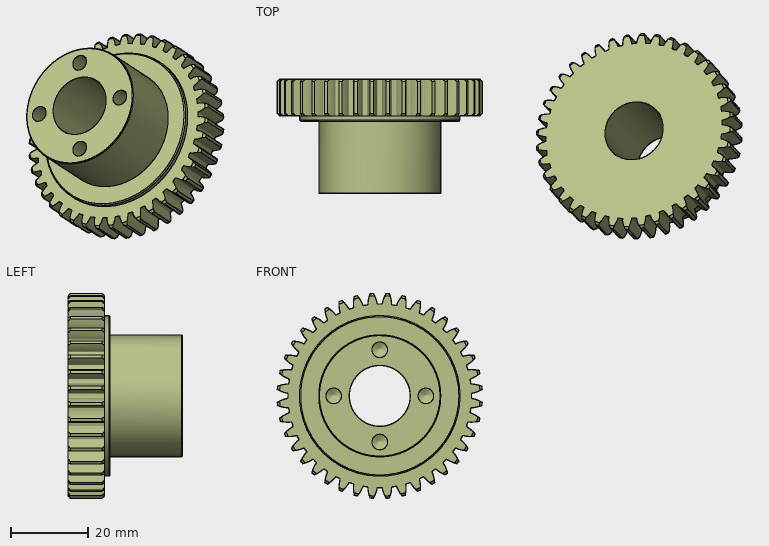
import cadquery as cq
import math


tooth_count = 40
pressure_angle = math.radians(20)
whole_depth_factor = 2.2
backlash_factor = 0.1
root_fillet = 0.2
tip_chamfer = 0.65
flank_point_count = 8

gear_width = 53.25
total_length = 29.75
gear_thickness = 9.55
flange_thickness = 1.45
flange_radius = 20.9
flange_chamfer = 0.3
hub_radius = 15.85
hub_chamfer = 0.2
bore_radius = 7.9

hole_count = 4
hole_circle_radius = 12.0
hole_radius = 2.0
hole_depth = 10.65
drill_half_angle = math.radians(59)


def involute(angle):
    return math.tan(angle) - angle


base_to_outer = tooth_count * math.cos(pressure_angle) / (tooth_count + 2)
pitch_half_space = math.pi / tooth_count / 2 + backlash_factor / tooth_count
base_half_space = pitch_half_space - involute(pressure_angle)
tip_corner_angle = base_half_space + involute(math.acos(base_to_outer))

outer_radius = gear_width / 2 / math.cos(tip_corner_angle)
module = 2 * outer_radius / (tooth_count + 2)
root_radius = outer_radius - whole_depth_factor * module
base_radius = outer_radius * base_to_outer
cutter_radius = outer_radius + module / 2


def polar(radius, angle):
    return (radius * math.cos(angle), radius * math.sin(angle))


def flank_point(radius):
    """Point of the involute on the upper side of the space centred on the X axis."""
    return polar(radius, base_half_space + involute(math.acos(base_radius / radius)))


def axial_cylinder(radius, start, length):
    """Cylinder about the part axis, starting at depth `start` and running toward -Y."""
    return cq.Workplane("XZ", origin=(0, -start, 0)).circle(radius).extrude(length)


def make_tooth_space():
    """Cutter for one tooth space: involute flanks and filleted root corners."""
    radial_step = (cutter_radius - root_radius) / flank_point_count
    upper = [flank_point(root_radius + i * radial_step) for i in range(flank_point_count + 1)]
    lower = [(x, -z) for x, z in upper]
    space = (
        cq.Workplane("XZ")
        .moveTo(*lower[0])
        .spline(lower[1:], includeCurrent=True)
        .lineTo(*upper[-1])
        .spline(upper[-2::-1], includeCurrent=True)
        .threePointArc((root_radius, 0), lower[0])
        .close()
        .extrude(gear_thickness)
    )
    root_x = upper[0][0]
    root_corners = cq.selectors.BoxSelector(
        (root_x - root_fillet, -gear_thickness, -module),
        (root_x + root_fillet, 0, module),
    )
    return space.edges("|Y").edges(root_corners).fillet(root_fillet)


def make_gear():
    """Blank with chamfered rims, cut by the tooth spaces."""
    blank = axial_cylinder(outer_radius, 0, gear_thickness)
    blank = blank.faces("<Y or >Y").chamfer(tip_chamfer)
    space = make_tooth_space().val()
    pitch = 360 / tooth_count
    spaces = [space.rotate((0, 0, 0), (0, 1, 0), i * pitch) for i in range(tooth_count)]
    return cq.Workplane(blank.val().cut(*spaces))


def make_flange():
    flange = axial_cylinder(flange_radius, gear_thickness, flange_thickness)
    return flange.faces("<Y").chamfer(flange_chamfer)


def make_hub():
    hub_start = gear_thickness + flange_thickness
    hub = axial_cylinder(hub_radius, hub_start, total_length - hub_start)
    return hub.faces("<Y").chamfer(hub_chamfer)


def make_holes():
    """Drilled holes with conical bottoms, spaced evenly around the axis."""
    cone_depth = hole_radius / math.tan(drill_half_angle)
    drill = (
        cq.Workplane("XY")
        .moveTo(hole_circle_radius, -total_length)
        .lineTo(hole_circle_radius + hole_radius, -total_length)
        .lineTo(hole_circle_radius + hole_radius, -total_length + hole_depth)
        .lineTo(hole_circle_radius, -total_length + hole_depth + cone_depth)
        .close()
        .revolve(360, (hole_circle_radius, 0, 0), (hole_circle_radius, 1, 0))
    )
    holes = cq.Workplane()
    for i in range(hole_count):
        holes = holes.add(drill.rotate((0, 0, 0), (0, 1, 0), i * 360 / hole_count))
    return holes.combine()


result = make_gear().union(make_flange()).union(make_hub())
result = result.cut(axial_cylinder(bore_radius, 0, total_length)).cut(make_holes())